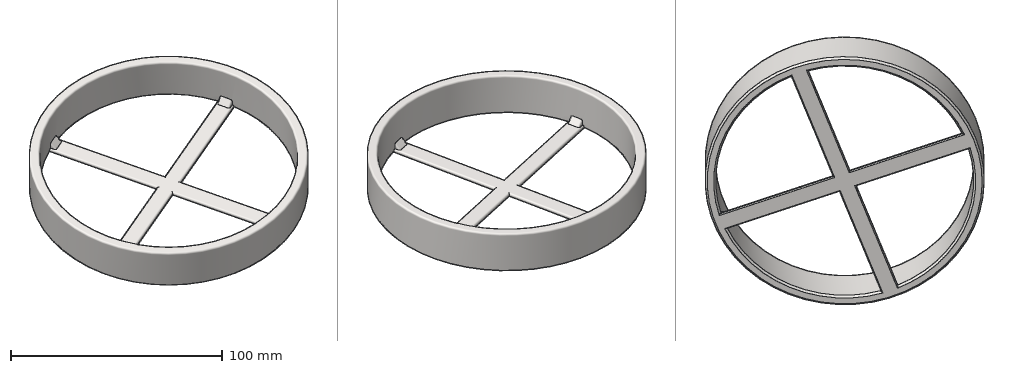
import cadquery as cq

outer_diameter = 132.0
inner_diameter = 122.0
height = 22.0
top_fillet = 0.99
bottom_chamfer = 0.99
inner_radius = inner_diameter / 2
mid_wall_diameter = (outer_diameter + inner_diameter) / 2

arm_width = 8.5
arm_thickness = 2.0
arm_top_fillet = 0.9
arm_bottom_chamfer = 0.5

arm_count = 4
wedge_length = 3.0
wedge_width = arm_width - 2 * arm_top_fillet
wedge_fillet = 0.8


def make_ring():
    """Round band with rounded top edges and chamfered bottom edges."""
    band = cq.Workplane("XY").circle(outer_diameter / 2).circle(inner_radius).extrude(height)
    band = band.faces(">Z").edges().fillet(top_fillet)
    return band.faces("<Z").edges().chamfer(bottom_chamfer)


def make_cross():
    """Two crossing bars with rounded upper edges and chamfered lower edges."""
    bar_x = cq.Workplane("XY").rect(mid_wall_diameter, arm_width).extrude(arm_thickness)
    bar_y = bar_x.rotate((0, 0, 0), (0, 0, 1), 90)
    cross = bar_x.union(bar_y)
    cross = cross.faces(">Z").edges().fillet(arm_top_fillet)
    return cross.faces("<Z").edges().chamfer(arm_bottom_chamfer)


def make_wedge():
    """Sloped brace on the +X arm with rounded side edges, rooted inside the arm."""
    root = arm_bottom_chamfer
    root_depth = arm_thickness - root
    toe = inner_radius - wedge_length - root_depth
    heel = mid_wall_diameter / 2
    crest = root + heel - toe
    wedge = (
        cq.Workplane("XZ")
        .moveTo(toe, root)
        .lineTo(heel, crest)
        .lineTo(heel, root)
        .close()
        .extrude(wedge_width / 2, both=True)
    )
    slope = wedge.faces("+(-1, 0, 1)")
    return slope.edges("not |Y").fillet(wedge_fillet)


result = make_ring().union(make_cross())
for arm in range(arm_count):
    turn = 360 / arm_count * arm
    result = result.union(make_wedge().rotate((0, 0, 0), (0, 0, 1), turn))